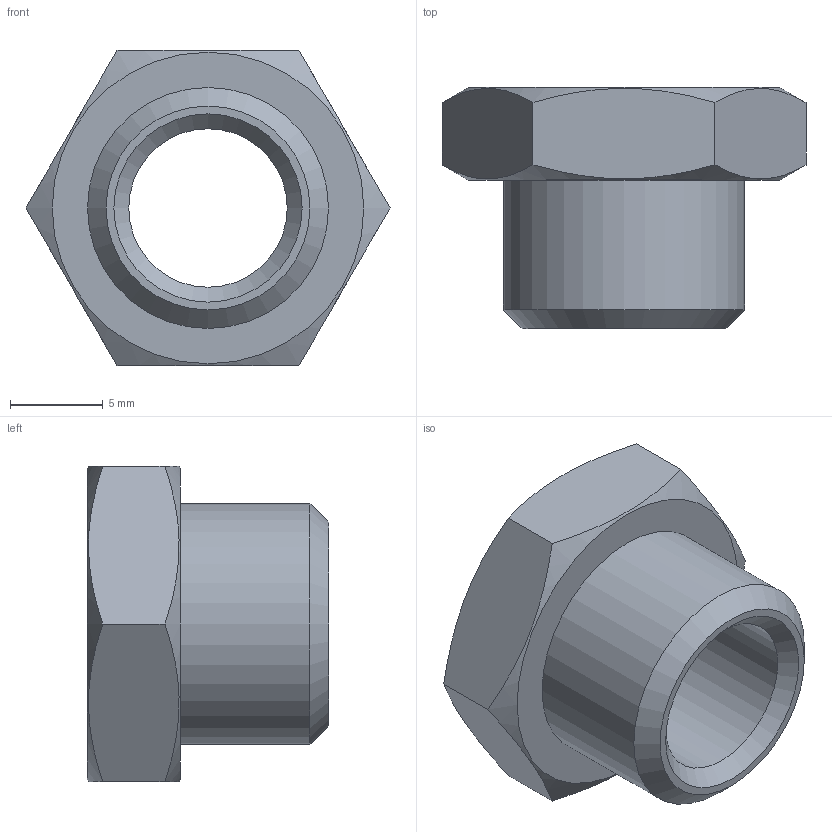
import cadquery as cq
import math

head_sides = 6
across_flats = 17.0
across_corners = across_flats / math.cos(math.pi / head_sides)
head_length = 5.0
head_face_diameter = 16.8
corner_chamfer_angle = 30.0

shank_diameter = 13.0
shank_length = 8.0
shank_chamfer = 1.0

bore_diameter = 8.55
bore_mouth_diameter = 10.15
bore_chamfer = (bore_mouth_diameter - bore_diameter) / 2

head_back = head_length
head_front = 0.0
shank_end = -shank_length


def revolve_about_y(points):
    """Solid of revolution from a closed (radius, y) outline."""
    return cq.Workplane("XY").polyline(points).close().revolve(360, (0, 0, 0), (0, 1, 0))


def make_head():
    """Hexagon with corners on the X axis, its corners chamfered conically on both faces."""
    hexagon = (
        cq.Workplane("XZ", origin=(0, head_back, 0))
        .polygon(head_sides, across_corners)
        .extrude(head_length)
    )
    face_radius = head_face_diameter / 2
    corner_radius = across_corners / 2
    chamfer_depth = (corner_radius - face_radius) * math.tan(math.radians(corner_chamfer_angle))
    envelope = revolve_about_y([
        (0, head_front),
        (face_radius, head_front),
        (corner_radius, head_front + chamfer_depth),
        (corner_radius, head_back - chamfer_depth),
        (face_radius, head_back),
        (0, head_back),
    ])
    return hexagon.intersect(envelope)


def make_shank():
    """Cylinder with a chamfered free end."""
    radius = shank_diameter / 2
    return revolve_about_y([
        (0, head_front),
        (radius, head_front),
        (radius, shank_end + shank_chamfer),
        (radius - shank_chamfer, shank_end),
        (0, shank_end),
    ])


def make_bore():
    """Through hole, countersunk at the free end of the shank."""
    radius = bore_diameter / 2
    return revolve_about_y([
        (0, head_back),
        (radius, head_back),
        (radius, shank_end + bore_chamfer),
        (bore_mouth_diameter / 2, shank_end),
        (0, shank_end),
    ])


result = make_head().union(make_shank()).cut(make_bore())